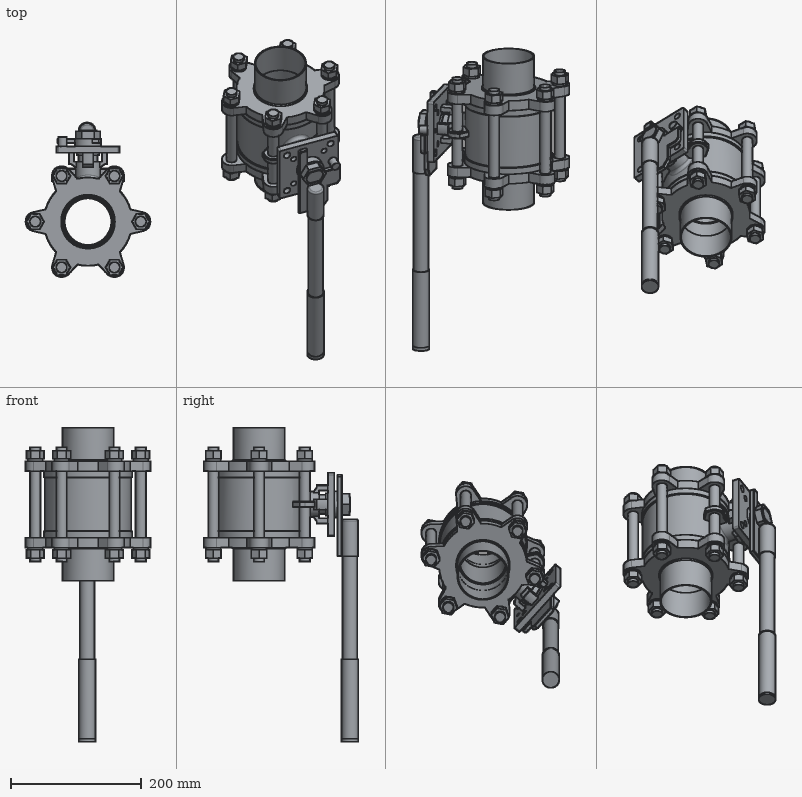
import cadquery as cq
import math


pipe_radius = 39.5
pipe_bore_radius = 38.0
pipe_end_z = 117.5
flange_radius = 67.5
flange_bottom_z = 51.0
flange_top_z = 66.5
collar_radius = 68.0
collar_bottom_z = 41.5
neck_radius = 41.5
neck_height = 2.0

hex_sides = 6
lug_count = 6
bolt_circle_radius = 81.0
lug_radius = 15.0
lug_half_angle = 16.5
stud_radius = 8.0
stud_end_z = 87.5
washer_radius = 11.5
washer_height = 3.5
nut_across_flats = 23.5
nut_height = 12.5

body_radius = 66.5
body_edge_chamfer = 1.0
flow_bore_radius = 35.5
left_ear_stud = 2
ear_half_thickness = 5.0
ear_edge_chamfer = 1.5
ear_outer_y = 82.0
ear_step_y = 62.0
ear_root = (-41.0, 51.5)

boss_radius = 19.5
boss_top_y = 92.0
boss_fillet = 5.5
leg_count = 4
leg_inner_radius = 21.0
leg_outer_radius = 30.0
leg_half_width = 8.0
leg_shoulder_radius = 26.0
leg_shoulder_y = 88.0
leg_root_y = 83.5
pad_bottom_y = 105.5
pad_top_y = 115.5
pad_half_size = 48.5
pad_corner_radius = 3.0
inner_hole_offset = 25.0
inner_hole_radius = 4.5
outer_hole_offset = 36.0
outer_hole_radius = 5.5

pin_x = -39.0
pin_radius = 6.5
pin_top_y = 130.0
pin_shank_radius = 3.0
pin_shank_length = 5.0

stem_radius = 13.5
stem_half_flats = 11.0
stem_bottom_y = 43.5
stem_top_y = 140.0
gland_radius = 15.0
gland_flange_radius = 17.5
gland_flange_height = 3.5
stem_nut_across_flats = 32.5
stem_nut_top_y = 138.5

lever_bottom_y = 119.8
lever_top_y = 127.0
lever_edge_chamfer = 1.0
hub_radius = 20.0
stop_arm_x = -47.0
stop_arm_bottom_z = -37.5
stop_arm_round = 7.5
tab_right_x = 20.0
tab_top_z = 45.5
tab_chamfer = 3.5
shank_left_x = -26.5
shank_tip_left_x = -18.0
shank_chamfer_z = -67.5
lever_end_z = -79.5

handle_x = -1.5
handle_y = 139.0
socket_radius = 12.5
socket_top_z = -22.5
socket_rim_round = 3.0
bar_radius = 11.5
grip_radius = 13.0
grip_top_z = -237.0
overall_height = 481.0
grip_bottom_z = pipe_end_z - overall_height
grip_end_thickness = 5.0


def z_cylinder(radius, z_start, z_end, x=0.0, y=0.0):
    return cq.Workplane("XY", origin=(x, y, z_start)).circle(radius).extrude(z_end - z_start)


def y_plane(y_start, x=0.0):
    """Sketch plane at y_start whose extrusions grow toward +Y; local axes are -X and Z."""
    return cq.Workplane(cq.Plane(origin=(x, y_start, 0), xDir=(-1, 0, 0), normal=(0, 1, 0)))


def y_cylinder(radius, y_start, y_end, x=0.0):
    return y_plane(y_start, x).circle(radius).extrude(y_end - y_start)


def across_corners(across_flats):
    return across_flats / math.cos(math.pi / hex_sides)


def stud_centres():
    angles = [math.radians(360 / lug_count * i) for i in range(lug_count)]
    return [(bolt_circle_radius * math.cos(a), bolt_circle_radius * math.sin(a)) for a in angles]


def lug():
    """Lug on +X: sides run from the flange rim tangent to the rounded end."""
    half_angle = math.radians(lug_half_angle)
    root_x = flange_radius * math.cos(half_angle)
    root_y = flange_radius * math.sin(half_angle)
    reach = math.hypot(root_x - bolt_circle_radius, root_y)
    root_direction = math.atan2(root_y, root_x - bolt_circle_radius)
    tangent_angle = root_direction - math.acos(lug_radius / reach)
    tangent_x = bolt_circle_radius + lug_radius * math.cos(tangent_angle)
    tangent_y = lug_radius * math.sin(tangent_angle)
    return (
        cq.Workplane("XY", origin=(0, 0, flange_bottom_z))
        .moveTo(0, 0)
        .lineTo(root_x, root_y)
        .lineTo(tangent_x, tangent_y)
        .threePointArc((bolt_circle_radius + lug_radius, 0), (tangent_x, -tangent_y))
        .lineTo(root_x, -root_y)
        .close()
        .extrude(flange_top_z - flange_bottom_z)
    )


def stud_end(x, y):
    """Upper half of a stud with its washer and nut."""
    washer_top_z = flange_top_z + washer_height
    nut = (
        cq.Workplane("XY", origin=(x, y, washer_top_z))
        .polygon(hex_sides, across_corners(nut_across_flats))
        .extrude(nut_height)
    )
    washer = z_cylinder(washer_radius, flange_top_z, washer_top_z, x, y)
    return z_cylinder(stud_radius, 0, stud_end_z, x, y).union(washer).union(nut)


def upper_end():
    end = z_cylinder(flange_radius, flange_bottom_z, flange_top_z)
    for i in range(lug_count):
        end = end.union(lug().rotate((0, 0, 0), (0, 0, 1), 360 / lug_count * i))
    neck = cq.Workplane(
        cq.Solid.makeCone(neck_radius, pipe_radius, neck_height, pnt=cq.Vector(0, 0, flange_top_z))
    )
    end = end.union(z_cylinder(collar_radius, collar_bottom_z, flange_bottom_z))
    end = end.union(neck).union(z_cylinder(pipe_radius, flange_top_z, pipe_end_z))
    end = end.cut(z_cylinder(pipe_bore_radius, 0, pipe_end_z))
    for x, y in stud_centres():
        end = end.union(stud_end(x, y))
    return end


def make_end_frame():
    """Both pipe ends, tied together by the six studs."""
    upper = upper_end()
    return upper.union(upper.mirror("XY"))


def left_ear():
    """Ear that holds the stud beside the stem boss on the -X side."""
    stud_x, stud_y = stud_centres()[left_ear_stud]
    outer_x = stud_x - lug_radius
    web = (
        cq.Workplane("XY", origin=(0, 0, -ear_half_thickness))
        .polyline([
            (0, ear_outer_y),
            (stud_x, ear_outer_y),
            (outer_x, stud_y),
            (outer_x, ear_step_y),
            ear_root,
            (0, ear_root[1]),
        ])
        .close()
        .extrude(2 * ear_half_thickness)
    )
    ear = web.union(z_cylinder(lug_radius, -ear_half_thickness, ear_half_thickness, stud_x, stud_y))
    ear = ear.faces("<Z or >Z").chamfer(ear_edge_chamfer)
    return ear.cut(z_cylinder(stud_radius, -ear_half_thickness, ear_half_thickness, stud_x, stud_y))


def bracket_leg():
    """Leg on +X that carries the pad, with its outer face on a cylinder about the stem."""
    profile = (
        cq.Workplane("XY", origin=(0, 0, -leg_half_width))
        .polyline([
            (0, leg_root_y),
            (boss_radius, leg_root_y),
            (leg_shoulder_radius, leg_shoulder_y),
            (leg_outer_radius, leg_shoulder_y),
            (leg_outer_radius, pad_bottom_y),
            (leg_inner_radius, pad_bottom_y),
            (leg_inner_radius, boss_top_y),
            (0, boss_top_y),
        ])
        .close()
        .extrude(2 * leg_half_width)
    )
    return profile.intersect(y_cylinder(leg_outer_radius, leg_root_y, pad_bottom_y))


def mounting_pad():
    side = 2 * pad_half_size
    thickness = pad_top_y - pad_bottom_y
    pad = y_plane(pad_bottom_y).rect(side, side).extrude(thickness).edges("|Y").fillet(pad_corner_radius)
    for offset, radius in (
        (inner_hole_offset, inner_hole_radius),
        (outer_hole_offset, outer_hole_radius),
    ):
        holes = y_plane(pad_bottom_y).rect(2 * offset, 2 * offset, forConstruction=True).vertices()
        pad = pad.cut(holes.circle(radius).extrude(thickness))
    return pad.cut(y_cylinder(pin_shank_radius, pad_bottom_y, pad_top_y, pin_x))


def make_valve_body():
    body = z_cylinder(body_radius, -collar_bottom_z, collar_bottom_z)
    body = body.faces("<Z or >Z").edges().chamfer(body_edge_chamfer)
    body = body.union(y_cylinder(boss_radius, 0, boss_top_y))
    boss_root = cq.selectors.BoxSelector(
        (-boss_radius, 0, -boss_radius),
        (boss_radius, body_radius, boss_radius),
    )
    body = body.edges(boss_root).fillet(boss_fillet)
    ear = left_ear()
    body = body.union(ear).union(ear.mirror("YZ"))
    for i in range(leg_count):
        body = body.union(bracket_leg().rotate((0, 0, 0), (0, 1, 0), 360 / leg_count * i))
    body = body.union(mounting_pad())
    body = body.cut(z_cylinder(flow_bore_radius, -collar_bottom_z, collar_bottom_z))
    return body.cut(stem_shaft())


def stem_shaft():
    """Round shaft with two flats that drive the lever."""
    length = stem_top_y - stem_bottom_y
    flats = y_plane(stem_bottom_y).rect(2 * stem_radius, 2 * stem_half_flats).extrude(length)
    return y_cylinder(stem_radius, stem_bottom_y, stem_top_y).intersect(flats)


def make_stem():
    nut_height_y = stem_nut_top_y - lever_top_y
    nut = y_plane(lever_top_y).polygon(hex_sides, across_corners(stem_nut_across_flats)).extrude(nut_height_y)
    gland = y_cylinder(gland_radius, boss_top_y, pad_bottom_y)
    gland_flange = y_cylinder(gland_flange_radius, pad_bottom_y - gland_flange_height, pad_bottom_y)
    return stem_shaft().union(gland).union(gland_flange).union(nut)


def make_stop_pin():
    head = y_cylinder(pin_radius, pad_top_y, pin_top_y, pin_x)
    return head.union(y_cylinder(pin_shank_radius, pad_top_y - pin_shank_length, pad_top_y, pin_x))


def lever_plate():
    """Flat lever: a stop arm under the pin, a stop tab above, and a shank for the socket."""
    outline = [
        (pin_radius, tab_top_z),
        (tab_right_x - tab_chamfer, tab_top_z),
        (tab_right_x, tab_top_z - tab_chamfer),
        (tab_right_x, lever_end_z),
        (shank_tip_left_x, lever_end_z),
        (shank_left_x, shank_chamfer_z),
        (shank_left_x, stop_arm_bottom_z),
        (stop_arm_x, stop_arm_bottom_z),
        (stop_arm_x, -pin_radius),
        (pin_radius, -pin_radius),
    ]
    points = [(-x, z) for x, z in outline]
    plate = y_plane(lever_bottom_y).polyline(points).close().extrude(lever_top_y - lever_bottom_y)
    arm_corner = cq.selectors.NearestToPointSelector((stop_arm_x, lever_bottom_y, stop_arm_bottom_z))
    plate = plate.edges("|Y").edges(arm_corner).fillet(stop_arm_round)
    return plate.faces("<Y or >Y").chamfer(lever_edge_chamfer)


def make_lever():
    socket = z_cylinder(socket_radius, lever_end_z, socket_top_z, handle_x, handle_y)
    socket = socket.faces(">Z").edges().fillet(socket_rim_round)
    bar_end_z = grip_bottom_z + grip_end_thickness
    bar = z_cylinder(bar_radius, bar_end_z, lever_end_z, handle_x, handle_y)
    lever = lever_plate().union(y_cylinder(hub_radius, pad_top_y, lever_top_y))
    return lever.union(socket).union(bar).cut(stem_shaft())


def make_grip():
    """Sleeve closed at its lower end."""
    sleeve = z_cylinder(grip_radius, grip_bottom_z, grip_top_z, handle_x, handle_y)
    return sleeve.cut(
        z_cylinder(bar_radius, grip_bottom_z + grip_end_thickness, grip_top_z, handle_x, handle_y)
    )


end_frame = make_end_frame()
valve_body = make_valve_body()
stem = make_stem()
stop_pin = make_stop_pin()
lever = make_lever()
grip = make_grip()

result = cq.Compound.makeCompound([
    end_frame.solids().val(),
    valve_body.solids().val(),
    stem.solids().val(),
    stop_pin.solids().val(),
    lever.solids().val(),
    grip.solids().val(),
])